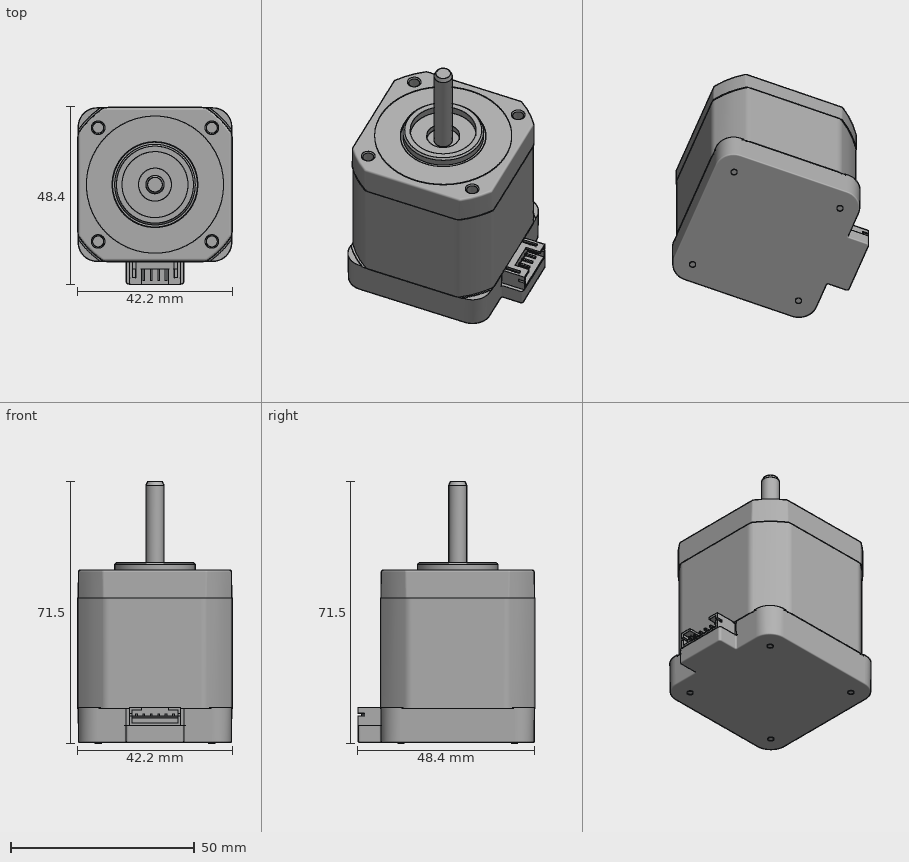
import cadquery as cq

total_height = 71.45
foot_height = 0.2
cap_top = 9.5
stator_top = 39.6
flange_top = 47.3
pilot_top = 49.3

stator_width = 42.2
stator_corner_radius = 25.0
flange_corner_radius = 25.2
stator_edge_fillet = 2.85
flange_width = 42.0
flange_edge_fillet = 0.85
flange_rim_fillet = 0.65
flange_draft_angle = 1.0

cap_width = 41.95
cap_draft_angle = 0.5
cap_corner_radius = 5.2
cap_bottom_fillet = 0.35
lip_height = 0.3
lip_top = cap_top + lip_height
lip_inner_radius = 25.7

face_recess_radius = 18.7
face_recess_depth = 0.2
groove_radius = 11.8
groove_depth = 0.35
groove_chamfer = 0.2

pilot_radius = 11.0
pilot_chamfer = 0.5
bore_radius = 9.0
bore_depth = 2.15
inner_bore_radius = 4.5
inner_bore_depth = 1.7
shaft_radius = 2.5
shaft_tip_length = 1.1
shaft_tip_inset = 0.5

screw_spacing = 31.0
screw_hole_radius = 1.5
screw_hole_chamfer = 0.35
screw_hole_depth = 4.5
foot_radius = 0.85

plinth_width = 15.7
plinth_top = 4.85
plinth_front = -27.15
plinth_corner_radius = 0.7
plinth_root_radius = 0.4
socket_width = 13.8
socket_front = -(48.4 - stator_width / 2)
cap_notch_back = -20.45
cavity_width = 12.4
cavity_bottom = 5.5
cavity_top = 9.1
cavity_back = -23.1
undercut_bottom = 6.85
undercut_top = 7.5
roof_opening_width = 7.4
roof_slot_width = 0.9
roof_slot_spacing = 11.3
roof_slot_front = -25.4
side_notch_length = 1.7
side_notch_height = 0.65
pin_count = 6
pin_row_length = 10.15
pin_size = 0.5
pin_front = -26.2

SCREW_POINTS = [(sx * screw_spacing / 2, sy * screw_spacing / 2) for sx in (-1, 1) for sy in (-1, 1)]


def block(width, y_front, y_back, z_bottom, z_top, x_center=0.0):
    """Axis-aligned box given by its width in X and its limits in Y and Z."""
    box = cq.Workplane("XY").box(width, y_back - y_front, z_top - z_bottom, centered=(True, False, False))
    return box.translate((x_center, y_front, z_bottom))


def cylinder(radius, z_bottom, z_top):
    return cq.Workplane("XY").workplane(offset=z_bottom).circle(radius).extrude(z_top - z_bottom)


def make_stator():
    body = cq.Workplane("XY").workplane(offset=cap_top).rect(stator_width, stator_width)
    body = body.extrude(stator_top - cap_top)
    body = body.intersect(cylinder(stator_corner_radius, cap_top, stator_top))
    return body.edges("|Z").fillet(stator_edge_fillet)


def make_flange():
    body = cq.Workplane("XY").workplane(offset=stator_top).rect(flange_width, flange_width)
    body = body.extrude(flange_top - stator_top, taper=flange_draft_angle)
    body = body.intersect(cylinder(flange_corner_radius, stator_top, flange_top))
    body = body.edges("not (<Z or >Z)").fillet(flange_edge_fillet)
    body = body.faces(">Z").edges().fillet(flange_rim_fillet)
    recess = cylinder(face_recess_radius, flange_top - face_recess_depth, flange_top)
    groove = cylinder(groove_radius, flange_top - groove_depth, flange_top)
    groove = groove.faces("<Z").edges().chamfer(groove_chamfer)
    body = body.cut(recess).cut(groove)
    hole_mouth = flange_top
    hole_profile = [
        (0, hole_mouth),
        (screw_hole_radius + screw_hole_chamfer, hole_mouth),
        (screw_hole_radius, hole_mouth - screw_hole_chamfer),
        (screw_hole_radius, hole_mouth - screw_hole_depth),
        (0, hole_mouth - screw_hole_depth),
    ]
    hole = cq.Workplane("XZ").polyline(hole_profile).close().revolve(360, (0, 0), (0, 1))
    for x, y in SCREW_POINTS:
        body = body.cut(hole.translate((x, y, 0)))
    return body


def make_pilot():
    pilot = cylinder(pilot_radius, flange_top - groove_depth, pilot_top)
    return pilot.faces(">Z").edges().chamfer(pilot_chamfer)


def make_bore():
    floor = pilot_top - bore_depth
    inner_bore = cylinder(inner_bore_radius, floor - inner_bore_depth, floor)
    return cylinder(bore_radius, floor, pilot_top).union(inner_bore)


def make_shaft():
    shaft = cylinder(shaft_radius, stator_top, total_height)
    return shaft.faces(">Z").edges().chamfer(shaft_tip_length, shaft_tip_inset)


def make_cap():
    """Drafted end cap with lips at its corners and the connector plinth on its -Y wall."""
    body = cq.Workplane("XY").workplane(offset=lip_top).rect(cap_width, cap_width)
    body = body.extrude(foot_height - lip_top, taper=cap_draft_angle)
    body = body.edges("not (<Z or >Z)").fillet(cap_corner_radius)
    body = body.cut(cylinder(lip_inner_radius, cap_top, lip_top))

    plinth = block(plinth_width, plinth_front, 0, foot_height, plinth_top)
    plinth = plinth.edges("|Z and <Y").fillet(plinth_corner_radius)
    body = body.union(plinth)
    for side in (-1, 1):
        body = body.edges(plinth_root_selector(side)).fillet(plinth_root_radius)
    body = body.faces("<Z").edges().fillet(cap_bottom_fillet)

    notch = block(plinth_width, -cap_width / 2, cap_notch_back, plinth_top, cap_top)
    feet = cq.Workplane("XY").pushPoints(SCREW_POINTS).circle(foot_radius).extrude(2 * foot_height)
    return body.cut(notch).union(feet)


def plinth_root_selector(side):
    """Selects the upright edge where one side of the plinth meets the cap wall."""
    edge_point = (side * plinth_width / 2, -cap_width / 2, (foot_height + plinth_top) / 2)
    return cq.selectors.NearestToPointSelector(edge_point)


def make_socket():
    """Socket shell with its cavity, roof slots, side notches and pins."""
    body = block(socket_width, socket_front, cap_notch_back, plinth_top, lip_top)

    undercut_depth = undercut_top - undercut_bottom
    cavity_profile = [
        (socket_front, cavity_bottom),
        (cavity_back + undercut_depth, cavity_bottom),
        (cavity_back + undercut_depth, undercut_bottom),
        (cavity_back, undercut_top),
        (cavity_back, cavity_top),
        (socket_front, cavity_top),
    ]
    cavity = cq.Workplane("YZ").polyline(cavity_profile).close().extrude(cavity_width / 2, both=True)
    body = body.cut(cavity)

    roof_opening = block(roof_opening_width, socket_front, cavity_back, cavity_top, lip_top)
    body = body.cut(roof_opening)
    for side in (-1, 1):
        slot_x = side * roof_slot_spacing / 2
        body = body.cut(block(roof_slot_width, roof_slot_front, cap_notch_back, cavity_top, lip_top, slot_x))

    notch_back = socket_front + side_notch_length
    notch_top = undercut_top + side_notch_height
    body = body.cut(block(socket_width, socket_front, notch_back, undercut_top, notch_top))

    pin_pitch = pin_row_length / (pin_count - 1)
    for i in range(pin_count):
        pin_x = i * pin_pitch - pin_row_length / 2
        pin = block(pin_size, pin_front, cavity_back, undercut_top, undercut_top + pin_size, pin_x)
        body = body.union(pin)
    return body


result = make_stator().union(make_flange()).union(make_cap()).union(make_pilot())
result = result.cut(make_bore()).union(make_shaft()).union(make_socket())